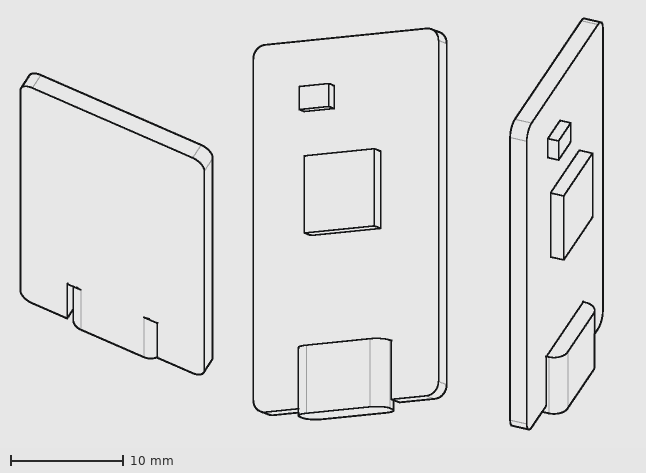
import cadquery as cq

overall_height = 34.15
board_width = 18.55
board_thickness = 1.6
board_corner_radius = 1.2

connector_width = 8.95
connector_depth = 3.1
connector_length = 6.2
connector_corner_radius = 1.3
connector_overhang = 0.82
notch_width = 9.1

chip_size = 7.0
chip_thickness = 1.25
chip_bottom = 16.43
small_part_width = 2.97
small_part_height = 2.1
small_part_thickness = 1.02
small_part_center_x = 2.65
small_part_bottom = 27.75


def block(width, depth, height, center_x=0, front_y=0, bottom_z=0):
    """Box centred on center_x, running back from front_y and up from bottom_z."""
    return (
        cq.Workplane("XY")
        .box(width, depth, height, centered=(True, False, False))
        .translate((center_x, front_y, bottom_z))
    )


def make_board():
    """Rounded plate with an edge notch for the connector."""
    plate = block(
        board_width, board_thickness, overall_height - connector_overhang, bottom_z=connector_overhang
    )
    plate = plate.edges("|Y").fillet(board_corner_radius)
    return plate.cut(block(notch_width, board_thickness, connector_length))


def make_connector():
    """Solid connector body with rounded long edges."""
    body = block(connector_width, connector_depth, connector_length)
    return body.edges("|Z").fillet(connector_corner_radius)


chip = block(chip_size, chip_thickness, chip_size, front_y=board_thickness, bottom_z=chip_bottom)
small_part = block(
    small_part_width,
    small_part_thickness,
    small_part_height,
    center_x=small_part_center_x,
    front_y=board_thickness,
    bottom_z=small_part_bottom,
)

result = make_board().union(make_connector()).union(chip).union(small_part)